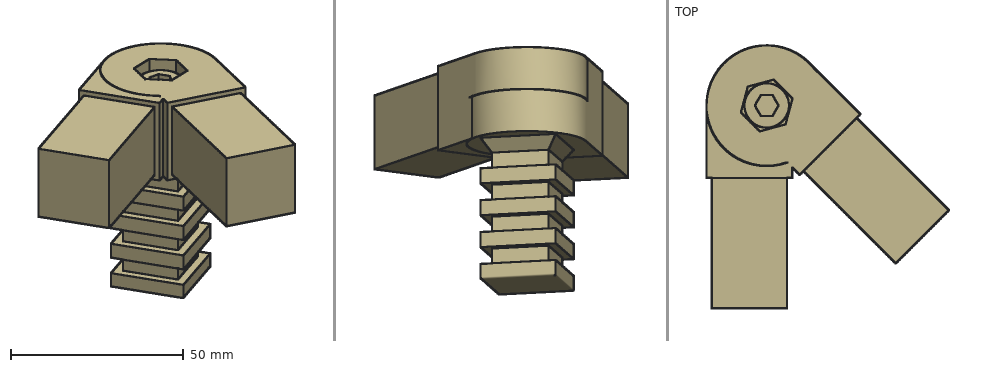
import cadquery as cq
import math


overall_depth = 76.5

pivot_radius = 17.5
body_width = 25.0
body_height = body_width
body_reach = 21.0
half_height = body_height / 2
joint_gap = 0.115
hinge_angle = 45

arm_reach = overall_depth - pivot_radius
arm_side = 21.95
arm_inset = (body_width - arm_side) / 2

recess_corners = 15.5
recess_turn = 15
head_diameter = 12.9
head_round = 0.45
head_drop = 3.1
head_height = 8.0
recess_depth = head_drop + head_height
socket_flats = 6.0
socket_depth = 3.0

rib_side = 22.5
core_side = 17.0
taper_height = 4.0
rib_count = 4
rib_height = 4.5
rib_pitch = 9.5
first_rib_drop = 9.0
tip_round = 0.5
plug_length = first_rib_drop + (rib_count - 1) * rib_pitch + rib_height


def hexagon_prism(corners, turn, top, depth):
    """Hexagonal prism on the pivot axis, running down from height top."""
    prism = cq.Workplane("XY").polygon(6, corners).extrude(-depth)
    return prism.rotate((0, 0, 0), (0, 0, 1), turn).translate((0, 0, top))


def hinge_half():
    """Half with its knuckle below the joint plane and its arm along -Y."""
    knuckle = cq.Workplane("XY").circle(pivot_radius).extrude(-half_height)
    body = (
        cq.Workplane("XY")
        .box(body_width, body_reach, body_height, centered=(False, False, True))
        .translate((-pivot_radius, -body_reach, 0))
    )
    mate_space = (
        cq.Workplane("XY").workplane(offset=-joint_gap / 2)
        .circle(pivot_radius + joint_gap).extrude(body_height)
    )
    arm = (
        cq.Workplane("XY")
        .box(arm_side, arm_reach - body_reach, arm_side, centered=(False, False, True))
        .translate((arm_inset - pivot_radius, -arm_reach, 0))
    )
    return knuckle.union(body).cut(mate_space).union(arm)


def screw_head():
    """Round screw head with a hexagonal socket, standing on the recess floor."""
    head_top = half_height - head_drop
    head = (
        cq.Workplane("XY").workplane(offset=head_top - head_height)
        .circle(head_diameter / 2).extrude(head_height)
        .faces(">Z").edges().fillet(head_round)
    )
    socket_corners = socket_flats / math.cos(math.radians(30))
    return head.cut(hexagon_prism(socket_corners, 0, head_top, socket_depth))


def ribbed_plug():
    """Square core with a flared root and evenly spaced square ribs."""
    plug = (
        cq.Workplane("XY").rect(rib_side, rib_side)
        .workplane(offset=-taper_height).rect(core_side, core_side).loft(combine=True)
    )
    core = cq.Workplane("XY").rect(core_side, core_side).extrude(-plug_length)
    plug = plug.union(core)
    for index in range(rib_count):
        rib_top = -first_rib_drop - index * rib_pitch
        rib = (
            cq.Workplane("XY").workplane(offset=rib_top)
            .rect(rib_side, rib_side).extrude(-rib_height)
        )
        plug = plug.union(rib)
    plug = plug.faces("<Z").edges().fillet(tip_round)
    return plug.translate((0, 0, -half_height))


lower_half = hinge_half()
upper_half = (
    hinge_half()
    .rotate((0, 0, 0), (0, 1, 0), 180)
    .rotate((0, 0, 0), (0, 0, 1), hinge_angle)
)
recess = hexagon_prism(recess_corners, recess_turn, half_height, recess_depth)

result = (
    lower_half
    .union(upper_half)
    .cut(recess)
    .union(screw_head())
    .union(ribbed_plug())
)